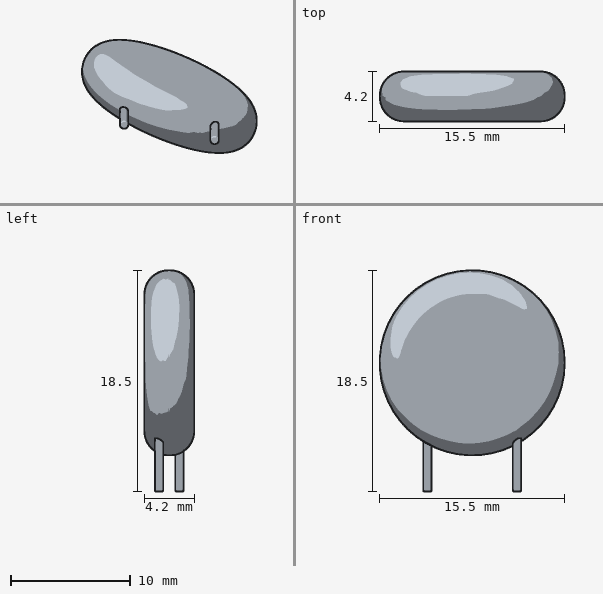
import cadquery as cq

body_diameter = 15.5
body_thickness = 4.2
rim_band_width = 0.1
edge_radius = (body_thickness - rim_band_width) / 2

lead_diameter = 0.72
lead_pitch = 7.5
lead_stagger = 1.7
lead_tip_radius = lead_diameter / 5
overall_height = 18.53
lead_bottom_z = body_diameter / 2 - overall_height
lead_top_z = -body_diameter / 4


def make_body():
    """Flat disc with both rims rounded almost to the mid-plane."""
    back_face = cq.Workplane("XZ", origin=(0, body_thickness / 2, 0))
    disc = back_face.circle(body_diameter / 2).extrude(body_thickness)
    return disc.edges().fillet(edge_radius)


def make_lead(x, y):
    """Round wire running down from inside the body to a rounded tip."""
    wire = (
        cq.Workplane("XY", origin=(x, y, lead_bottom_z))
        .circle(lead_diameter / 2)
        .extrude(lead_top_z - lead_bottom_z)
    )
    return wire.faces("<Z").edges().fillet(lead_tip_radius)


result = make_body()
for side in (-1, 1):
    lead = make_lead(side * lead_pitch / 2, -side * lead_stagger / 2)
    result = result.union(lead)